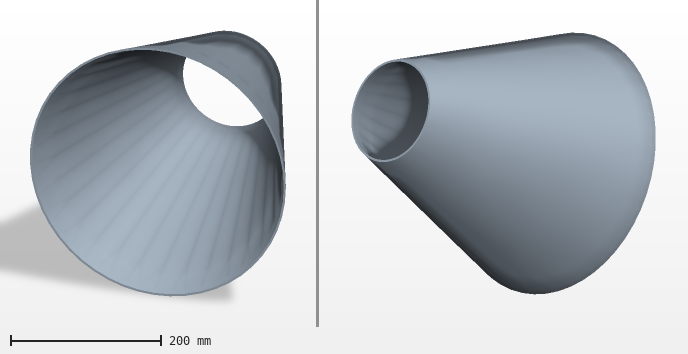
import cadquery as cq

LARGE_OUTER_DIAMETER = 355.6
SMALL_OUTER_DIAMETER = 139.7
LENGTH = 330.0
WALL = 3.0

large_outer_radius = LARGE_OUTER_DIAMETER / 2
small_outer_radius = SMALL_OUTER_DIAMETER / 2
large_inner_radius = large_outer_radius - WALL
small_inner_radius = small_outer_radius - WALL


def conical_shell():
    """Revolve the slanted wall section around the Y axis."""
    wall_section = cq.Workplane("XY").polyline([
        (large_inner_radius, 0),
        (large_outer_radius, 0),
        (small_outer_radius, LENGTH),
        (small_inner_radius, LENGTH),
    ]).close()
    return wall_section.revolve(360, (0, 0, 0), (0, 1, 0))


result = conical_shell()